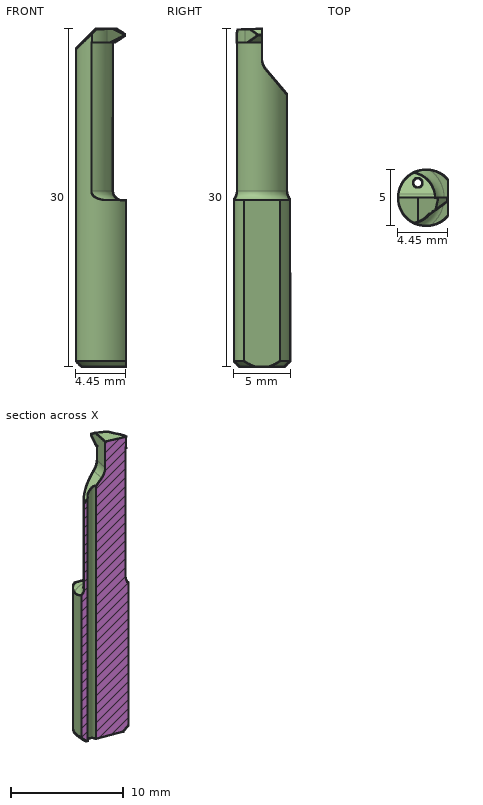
import cadquery as cq
import math

length = 30.0
shank_diameter = 5.0
shank_radius = shank_diameter / 2
width_over_flat = 4.45
end_chamfer = 0.5

shoulder_z = 14.8
neck_radius = 2.25
neck_center_x = -1.47
neck_fillet = 0.8

ramp_start_z = 23.82
ramp_angle = 50.0
ramp_fillet = 1.5
ramp_end_z = ramp_start_z + shank_radius * math.tan(math.radians(ramp_angle))

head_bottom_z = 28.77
head_back_radius = neck_radius + 0.03
tip_z = 29.43
tip_x = 1.85
tip_land = 0.33
wedge_apex_x = 1.95
wedge_half_angle = 33.0
wedge_relief_angle = 9.0
end_relief_angle = 2.0
head_bevel = 1.77
back_end_x = 0.25
back_end_y = -math.sqrt(head_back_radius**2 - (back_end_x - neck_center_x)**2)

hole_diameter = 0.8
hole_x = -0.75
hole_y = 1.32


def make_shank():
    bar = cq.Workplane("XY").circle(shank_radius).extrude(length)
    bar = bar.faces("<Z").chamfer(end_chamfer)
    envelope = cq.Workplane("XY").box(
        width_over_flat, shank_diameter, length, centered=(False, True, False)
    )
    return bar.intersect(envelope.translate((-shank_radius, 0, 0)))


def make_neck_limit():
    """Round limit for the neck, flaring through a fillet into the shoulder."""
    flare_radius = neck_radius + neck_fillet
    flare_z = shoulder_z + neck_fillet
    diagonal = neck_fillet * math.sqrt(0.5)
    outer_radius = 2 * shank_diameter
    profile = (
        cq.Workplane("XZ")
        .lineTo(outer_radius, 0)
        .lineTo(outer_radius, shoulder_z)
        .lineTo(flare_radius, shoulder_z)
        .threePointArc((flare_radius - diagonal, flare_z - diagonal), (neck_radius, flare_z))
        .lineTo(neck_radius, length)
        .lineTo(0, length)
        .close()
    )
    return profile.revolve(360, (0, 0, 0), (0, 1, 0)).translate((neck_center_x, 0, 0))


def make_head(shank):
    """Pointed cutting head, relieved away from the cutting face at Y = 0."""
    wedge_depth = 2 * shank_diameter
    wedge_rise = wedge_depth * math.tan(math.radians(wedge_half_angle))
    wedge = (
        cq.Workplane("XZ")
        .moveTo(wedge_apex_x, tip_z)
        .lineTo(wedge_apex_x - wedge_depth, tip_z + wedge_rise)
        .lineTo(wedge_apex_x - wedge_depth, tip_z - wedge_rise)
        .close()
        .extrude(shank_radius, taper=wedge_relief_angle)
    )
    base = cq.Workplane("XY").workplane(offset=head_bottom_z)
    height = length - head_bottom_z
    back = base.center(neck_center_x, 0).circle(head_back_radius).extrude(height)
    flank = (
        base.moveTo(neck_center_x, 0)
        .lineTo(tip_x, 0)
        .lineTo(tip_x, -tip_land)
        .lineTo(back_end_x, back_end_y)
        .close()
        .extrude(height)
    )
    return back.union(flank).intersect(wedge).intersect(shank)


def make_end_cut():
    """Cutter for the end face and its 45 degree -X bevel, both sloping down toward -Y."""
    top = length + shank_radius
    cutter = (
        cq.Workplane("XZ")
        .polyline([
            (-shank_radius, length - head_bevel),
            (-shank_radius + head_bevel, length),
            (shank_radius, length),
            (shank_radius, top),
            (-shank_diameter, top),
            (-shank_diameter, length - head_bevel - shank_radius),
        ])
        .close()
        .extrude(shank_diameter)
    )
    return cutter.rotate((0, 0, length), (1, 0, length), end_relief_angle)


def make_half_cut():
    """Cutter clearing the +Y half above the ramp."""
    cutter = (
        cq.Workplane("YZ")
        .polyline([(0, ramp_end_z), (0, length), (shank_radius, length), (shank_radius, ramp_start_z)])
        .close()
        .extrude(shank_diameter, both=True)
    )
    ramp_corner = cq.selectors.NearestToPointSelector((0, 0, ramp_end_z))
    return cutter.edges(ramp_corner).fillet(ramp_fillet)


shank = make_shank()
body = shank.intersect(make_neck_limit()).union(make_head(shank))
body = body.cut(make_half_cut()).cut(make_end_cut())
coolant_hole = cq.Workplane("XY").center(hole_x, hole_y).circle(hole_diameter / 2).extrude(length)
result = body.cut(coolant_hole)